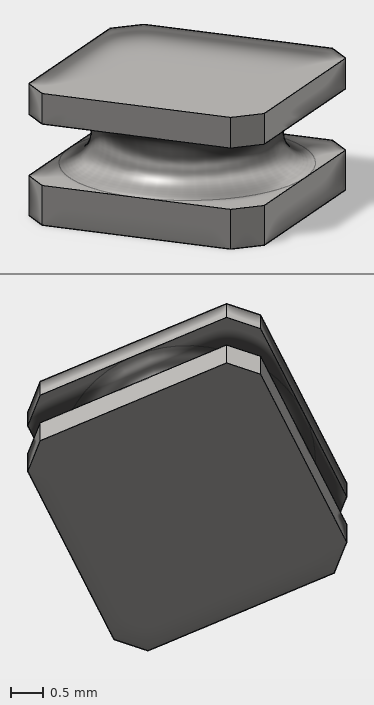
import cadquery as cq

side = 4.0
corner_chamfer = 0.4
base_thickness = 0.65
top_thickness = 0.5
groove_radius = 0.5
rim_radius = side / 2

groove_height = 2 * groove_radius
groove_top = base_thickness + groove_height
waist_radius = rim_radius - groove_radius


def make_flange(bottom, thickness):
    """Square plate with chamfered vertical corners."""
    return (
        cq.Workplane("XY")
        .workplane(offset=bottom)
        .rect(side, side)
        .extrude(thickness)
        .edges("|Z")
        .chamfer(corner_chamfer)
    )


def make_core():
    """Round core whose side is a half-round groove between the flanges."""
    groove_middle = base_thickness + groove_radius
    return (
        cq.Workplane("XZ")
        .moveTo(0, base_thickness)
        .lineTo(rim_radius, base_thickness)
        .threePointArc((waist_radius, groove_middle), (rim_radius, groove_top))
        .lineTo(0, groove_top)
        .close()
        .revolve(360, (0, 0, 0), (0, 1, 0))
    )


base_flange = make_flange(0, base_thickness)
top_flange = make_flange(groove_top, top_thickness)
result = base_flange.union(make_core()).union(top_flange)